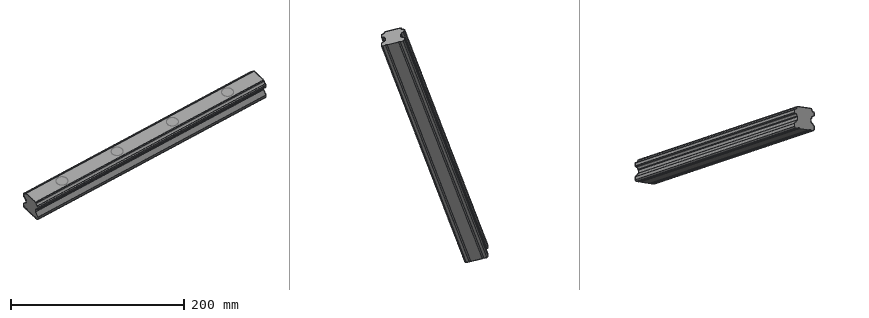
import cadquery as cq

rail_length = 330.0
rail_width = 28.0
rail_height = 26.0
half_width = rail_width / 2

relief_radius = 1.0
relief_offset = 8.0
bottom_chamfer = 1.5
flank_top = 5.3

waist_half_width = 9.2
waist_bottom = 10.2
waist_top = 14.0

groove_inner = 10.2
groove_outer = 12.5
groove_height = 2.5
groove_radius = 2.5
lower_groove_bottom = 14.5
upper_groove_top = 25.0

rib_bottom = 18.0
rib_top = 21.5

cap_count = 4
cap_pitch = 80.0
cap_diameter = 14.0
cap_thickness = 3.3


def rail_body():
    """Extrude the right half of the section along Y and mirror it."""
    half = (
        cq.Workplane("XZ", origin=(0, rail_length / 2, 0))
        .lineTo(relief_offset - relief_radius, 0)
        .threePointArc((relief_offset, relief_radius), (relief_offset + relief_radius, 0))
        .lineTo(half_width - bottom_chamfer, 0)
        .lineTo(half_width, bottom_chamfer)
        .lineTo(half_width, flank_top)
        .lineTo(waist_half_width, waist_bottom)
        .lineTo(waist_half_width, waist_top)
        .lineTo(groove_inner, lower_groove_bottom)
        .radiusArc((groove_outer, lower_groove_bottom + groove_height), groove_radius)
        .lineTo(half_width, rib_bottom)
        .lineTo(half_width, rib_top)
        .lineTo(groove_outer, upper_groove_top - groove_height)
        .radiusArc((groove_inner, upper_groove_top), groove_radius)
        .lineTo(waist_half_width, rail_height)
        .lineTo(0, rail_height)
        .close()
        .extrude(rail_length)
    )
    return half.union(half.mirror("YZ"))


def hole_caps():
    """Row of discs along Y whose tops lie in the top face of the rail."""
    return (
        cq.Workplane("XY", origin=(0, 0, rail_height))
        .rarray(3.3, cap_pitch, 1, cap_count)
        .circle(cap_diameter / 2)
        .extrude(-cap_thickness)
    )


caps = hole_caps()
result = rail_body().cut(caps).union(caps, clean=False)